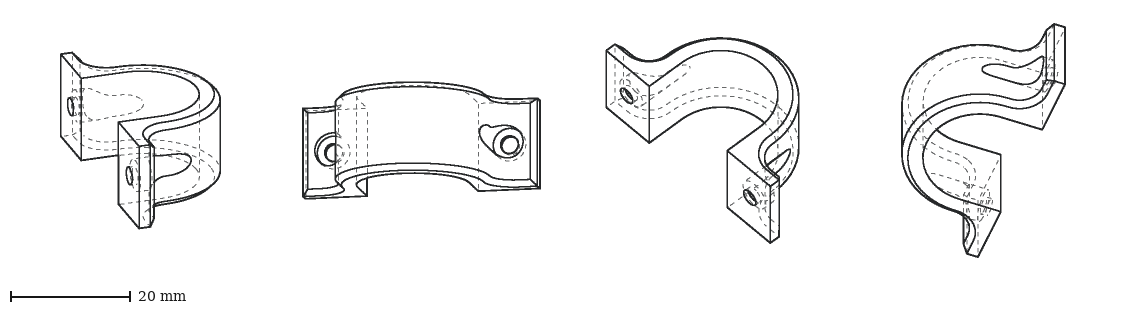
import cadquery as cq
import math

length = 40.0
width = 15.0
foot_thickness = 3.0

depth = 20.5
outer_radius = 13.0
inner_radius = 9.5
arch_center_y = depth - outer_radius
foot_fillet = 4.0
edge_chamfer = 1.0

screw_spacing = 30.0
screw_diameter = 3.0
head_diameter = 5.5
seat_y = 1.0

half_length = length / 2


def outer_body():
    """Arch on two feet, still without its bore, with all outer edges chamfered."""
    fillet_center_x = outer_radius + foot_fillet
    fillet_center_y = foot_thickness + foot_fillet
    fillet_reach = foot_fillet * math.sqrt(0.5)
    fillet_mid_x = fillet_center_x - fillet_reach
    fillet_mid_y = fillet_center_y - fillet_reach
    body = (
        cq.Workplane("XY", origin=(0, 0, -width / 2))
        .moveTo(-half_length, 0)
        .lineTo(half_length, 0)
        .lineTo(half_length, foot_thickness)
        .lineTo(fillet_center_x, foot_thickness)
        .threePointArc((fillet_mid_x, fillet_mid_y), (outer_radius, fillet_center_y))
        .lineTo(outer_radius, arch_center_y)
        .threePointArc((0, depth), (-outer_radius, arch_center_y))
        .lineTo(-outer_radius, fillet_center_y)
        .threePointArc((-fillet_mid_x, fillet_mid_y), (-fillet_center_x, foot_thickness))
        .lineTo(-half_length, foot_thickness)
        .close()
        .extrude(width)
    )
    above_mount = cq.selectors.BoxSelector(
        (-half_length - 0.4, foot_thickness / 2, -width),
        (half_length + 0.4, depth + 0.4, width),
        boundingbox=True,
    )
    tip_edges = body.edges("|Z").edges(above_mount).edges("<X or >X")
    end_edges = body.faces("<Z or >Z").edges(above_mount)
    return body.newObject(tip_edges.vals() + end_edges.vals()).chamfer(edge_chamfer)


def bore():
    """Round seat for the pipe, open through the mounting plane between the feet."""
    return (
        cq.Workplane("XY", origin=(0, 0, -width / 2))
        .moveTo(-inner_radius, 0)
        .lineTo(inner_radius, 0)
        .lineTo(inner_radius, arch_center_y)
        .threePointArc((0, arch_center_y + inner_radius), (-inner_radius, arch_center_y))
        .close()
        .extrude(width)
    )


def screw_hole(x):
    """Through hole with a flat head seat and head clearance cut into the arch side."""
    shank = cq.Workplane("XZ", origin=(x, 0, 0)).circle(screw_diameter / 2).extrude(-depth)
    head = cq.Workplane("XZ", origin=(x, seat_y, 0)).circle(head_diameter / 2).extrude(-depth)
    return shank.union(head)


result = outer_body().cut(bore())
for side in (-1, 1):
    result = result.cut(screw_hole(side * screw_spacing / 2))